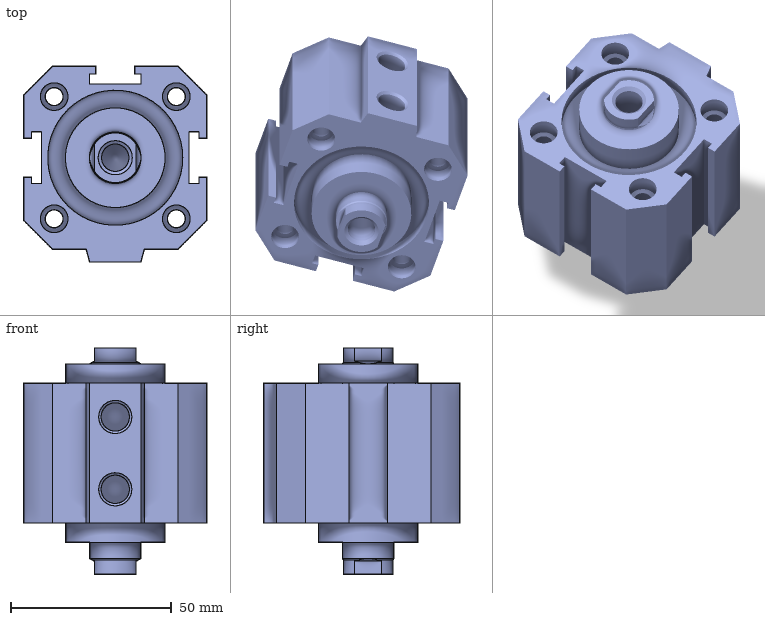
import cadquery as cq
import math


body_width = 57.0
body_height = 43.5
corner_chamfer = 9.0
half_width = body_width / 2
half_height = body_height / 2

rail_height = 4.0
rail_side_angle = 15.0
rail_tip_width = 16.0
rail_base_width = rail_tip_width + 2 * rail_height * math.tan(math.radians(rail_side_angle))
rail_face_y = -half_width - rail_height

slot_mouth_width = 12.0
slot_inner_width = 16.0
slot_lip = 2.5
slot_depth = 5.5

boss_diameter = 31.0
boss_height = 6.0
recess_diameter = 42.0
recess_depth = 4.0

mount_spacing = 38.0
mount_diameter = 5.5
counterbore_diameter = 8.6
counterbore_depth = 5.6

port_end_distance = 10.5
port_diameter = 8.8
port_mouth_diameter = 10.3
port_depth = 10.0
port_spacing = body_height - 2 * port_end_distance

rod_diameter = 16.0
lower_rod_extension = 5.0
rod_end_length = 5.0
rod_end_diameter = 15.5
flat_width = 13.0
shoulder_angle = 30.0
boss_face_z = half_height + boss_height
upper_shoulder_z = boss_face_z
lower_shoulder_z = -boss_face_z - lower_rod_extension

tap_diameter = 8.5
tap_mouth_diameter = 10.6
tap_depth = 15.0
drill_point_angle = 118.0


def countersink(drill_diameter, mouth_diameter, depth, tip_height=0.0):
    """Blind 45-degree countersunk hole below the XY plane, as a solid around Z."""
    drill_radius = drill_diameter / 2
    mouth_radius = mouth_diameter / 2
    profile = (
        cq.Workplane("XZ")
        .moveTo(0, 0)
        .lineTo(mouth_radius, 0)
        .lineTo(drill_radius, drill_radius - mouth_radius)
        .lineTo(drill_radius, -depth)
        .lineTo(0, -depth - tip_height)
        .close()
    )
    return profile.revolve(360, (0, 0, 0), (0, 1, 0))


def make_block():
    block = (
        cq.Workplane("XY")
        .box(body_width, body_width, body_height)
        .edges("|Z")
        .chamfer(corner_chamfer)
    )
    rail = (
        cq.Workplane("XY", origin=(0, 0, -half_height))
        .polyline([
            (-rail_base_width / 2, -half_width),
            (-rail_tip_width / 2, rail_face_y),
            (rail_tip_width / 2, rail_face_y),
            (rail_base_width / 2, -half_width),
        ])
        .close()
        .extrude(body_height)
    )
    return block.union(rail)


def make_t_slot():
    """T-slot cutter for the +Y side."""
    mouth = cq.Workplane("XY").box(slot_mouth_width, slot_depth, body_height)
    mouth = mouth.translate((0, half_width - slot_depth / 2, 0))
    inner_depth = slot_depth - slot_lip
    inner = cq.Workplane("XY").box(slot_inner_width, inner_depth, body_height)
    inner = inner.translate((0, half_width - slot_lip - inner_depth / 2, 0))
    return mouth.union(inner)


def add_boss(housing, bottom):
    """Cut the ring recess into one end face and leave the guide boss standing in it."""
    recess = (
        cq.Workplane("XY", origin=(0, 0, half_height - recess_depth))
        .circle(recess_diameter / 2)
        .extrude(recess_depth)
    )
    boss = (
        cq.Workplane("XY", origin=(0, 0, half_height - recess_depth))
        .circle(boss_diameter / 2)
        .extrude(recess_depth + boss_height)
    )
    if bottom:
        recess = recess.mirror("XY")
        boss = boss.mirror("XY")
    return housing.cut(recess).union(boss)


def make_mount_holes():
    """Through holes in the four corners, counterbored from both ends."""
    def corners(z):
        return cq.Workplane("XY", origin=(0, 0, z)).rarray(mount_spacing, mount_spacing, 2, 2)

    holes = corners(-half_height).circle(mount_diameter / 2).extrude(body_height)
    for start_z in (-half_height, half_height - counterbore_depth):
        holes = holes.union(corners(start_z).circle(counterbore_diameter / 2).extrude(counterbore_depth))
    return holes


def make_housing():
    housing = make_block()
    for angle in (-90, 0, 90):
        housing = housing.cut(make_t_slot().rotate((0, 0, 0), (0, 0, 1), angle))
    for bottom in (False, True):
        housing = add_boss(housing, bottom)
    housing = housing.cut(make_mount_holes())

    port = countersink(port_diameter, port_mouth_diameter, port_depth)
    port = port.rotate((0, 0, 0), (1, 0, 0), 90)
    for port_z in (-port_spacing / 2, port_spacing / 2):
        housing = housing.cut(port.translate((0, rail_face_y, port_z)))

    bore = cq.Workplane("XY").circle(rod_diameter / 2).extrude(boss_face_z, both=True)
    return housing.cut(bore)


def make_rod_end():
    """Rod end standing on the XY plane: beveled shoulder, wrench flats and tapped hole."""
    rod_radius = rod_diameter / 2
    end_radius = rod_end_diameter / 2
    shoulder_height = (rod_radius - end_radius) / math.tan(math.radians(shoulder_angle))
    end = (
        cq.Workplane("XZ")
        .moveTo(0, 0)
        .lineTo(rod_radius, 0)
        .lineTo(end_radius, shoulder_height)
        .lineTo(end_radius, rod_end_length)
        .lineTo(0, rod_end_length)
        .close()
        .revolve(360, (0, 0, 0), (0, 1, 0))
    )

    flat_x = flat_width / 2
    runout_height = (rod_radius - flat_x) * math.tan(math.radians(shoulder_angle))
    flat = (
        cq.Workplane("XZ")
        .moveTo(rod_radius, 0)
        .lineTo(flat_x, runout_height)
        .lineTo(flat_x, rod_end_length)
        .lineTo(rod_radius, rod_end_length)
        .close()
        .extrude(rod_radius, both=True)
    )
    end = end.cut(flat).cut(flat.mirror("YZ"))

    tip_height = tap_diameter / 2 / math.tan(math.radians(drill_point_angle / 2))
    return end, countersink(tap_diameter, tap_mouth_diameter, tap_depth, tip_height)


def make_rod():
    shaft = (
        cq.Workplane("XY", origin=(0, 0, lower_shoulder_z))
        .circle(rod_diameter / 2)
        .extrude(upper_shoulder_z - lower_shoulder_z)
    )
    end, tap = make_rod_end()
    tap = tap.translate((0, 0, rod_end_length))
    upper = (0, 0, upper_shoulder_z)
    lower = (0, 0, lower_shoulder_z)
    rod = shaft.union(end.translate(upper)).union(end.mirror("XY").translate(lower))
    return rod.cut(tap.translate(upper)).cut(tap.mirror("XY").translate(lower))


housing = make_housing()
rod = make_rod()
result = cq.Compound.makeCompound([housing.val(), rod.val()])